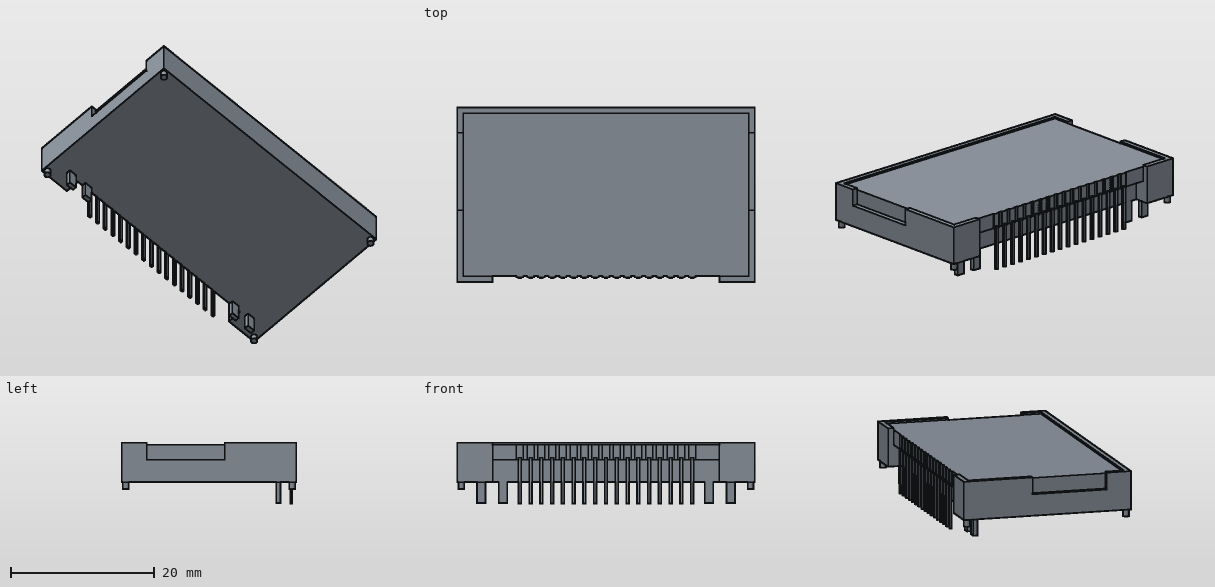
import cadquery as cq

length = 41.4
width = 24.3
frame_height = 5.45
rim = 0.83
corner_length = 4.93

glass_sink = 0.25
glass_thickness = 2.15
glass_top = frame_height - glass_sink
glass_bottom = glass_top - glass_thickness

window_start = 3.5
window_end = 14.32

front_setback = 2.2

pin_count = 17
pin_row_length = 23.95
pin_pitch = pin_row_length / (pin_count - 1)
pin_width = 0.4
pin_depth = 0.3
pin_length = 3.02
pin_above_glass_bottom = 0.3
clip_width = 1.0
clip_overhang = 0.15

tab_width = 1.2
tab_thickness = 0.62
tab_length = 2.95
tab_offsets = (14.32, 17.35)

foot_diameter = 0.85
foot_height = 1.0
foot_inset = 0.6

front = -width / 2
back = width / 2
glass_front = front + rim


def block(x_center, x_size, y_start, y_end, z_start, z_end):
    """Box centred at x_center in X, between the given limits in Y and Z."""
    base = cq.Workplane("XY").box(x_size, y_end - y_start, z_end - z_start, centered=(True, False, False))
    return base.translate((x_center, y_start, z_start))


def make_frame():
    frame = block(0, length, front, back, 0, frame_height)
    glass_pocket = block(0, length - 2 * rim, glass_front, back - rim, glass_bottom, frame_height)
    end_windows = block(0, length, back - window_end, back - window_start, glass_bottom, frame_height)
    open_length = length - 2 * corner_length
    front_opening = block(0, open_length, front, glass_front, 0, frame_height)
    front_recess = block(0, open_length, front, front + front_setback, 0, glass_bottom)
    return frame.cut(glass_pocket).cut(end_windows).cut(front_opening).cut(front_recess)


def make_glass():
    return block(0, length - 2 * rim, glass_front, back - rim, glass_bottom, glass_top)


def make_pin(x):
    """Clip flush with the glass top, with a thin leg hanging down below it."""
    clip_front = glass_front - clip_overhang
    clip = block(x, clip_width, clip_front, glass_front, glass_bottom, glass_top)
    leg_top = glass_bottom + pin_above_glass_bottom
    leg = block(x, pin_width, glass_front - pin_depth, glass_front, -pin_length, leg_top)
    return clip.union(leg)


def make_tab(x):
    """Tab flush with the set-back front wall."""
    tab_front = front + front_setback
    return block(x, tab_width, tab_front, tab_front + tab_thickness, -tab_length, 0)


def make_feet():
    spacing_x = length - 2 * foot_inset
    spacing_y = width - 2 * foot_inset
    corners = cq.Workplane("XY").rect(spacing_x, spacing_y, forConstruction=True).vertices()
    return corners.circle(foot_diameter / 2).extrude(-foot_height)


result = make_frame().union(make_glass())
for index in range(pin_count):
    pin_x = index * pin_pitch - pin_row_length / 2
    result = result.union(make_pin(pin_x))
for offset in tab_offsets:
    for side in (-1, 1):
        result = result.union(make_tab(side * offset))
result = result.union(make_feet())